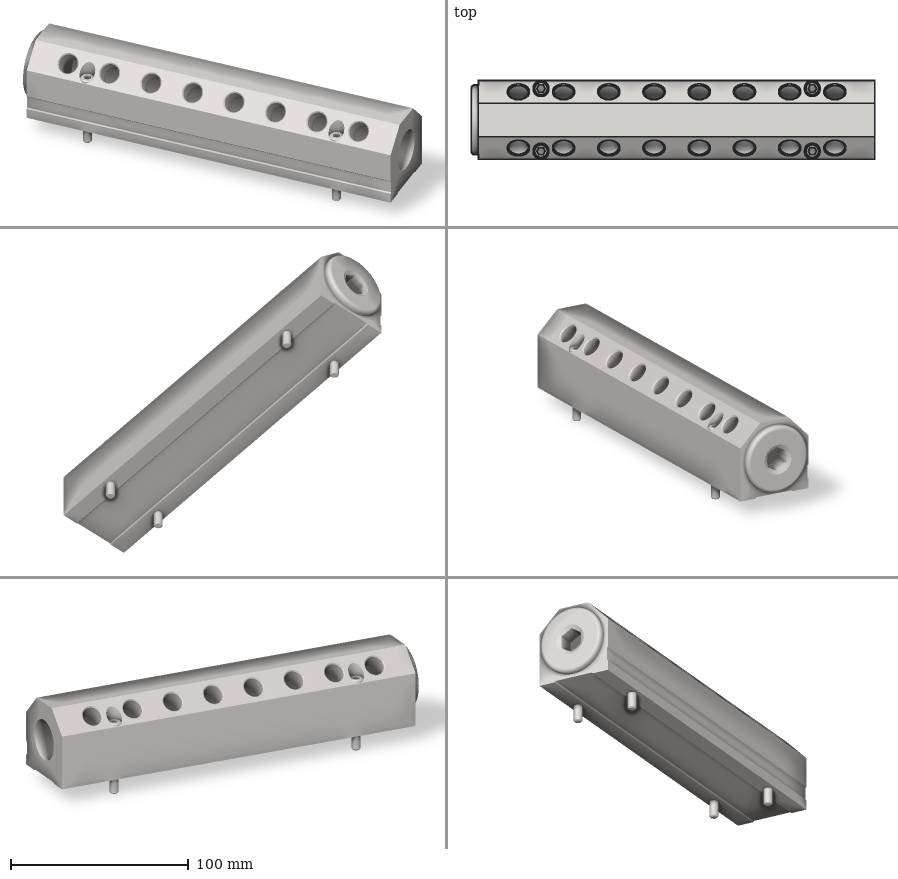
import cadquery as cq
import math


overall_length = 227.0
flange_thickness = 4.0
block_length = overall_length - flange_thickness
block_size = 44.5
top_flat = 18.8
half_size = block_size / 2
slope_drop = (block_size - top_flat) / 2

recess_depth = 0.7
foot_gap = 25.0
band_top = 30.2
band_bottom = 38.5

bore_diameter = 23.8
port_count = 8
port_pitch = 25.5
port_diameter = 11.1
port_mouth_diameter = 12.5
port_chamfer = (port_mouth_diameter - port_diameter) / 2
first_port_x = (block_length - (port_count - 1) * port_pitch) / 2

screw_diameter = 5.0
screw_spacing = 35.2
screw_projection = 9.5
screw_tip_chamfer = 0.7
head_diameter = 8.5
head_height = 5.0
head_chamfer = 0.7
head_drop = 11.1
screw_socket_width = 4.0
screw_socket_depth = 2.5
counterbore_diameter = 8.9
seat_z = half_size - head_drop - head_height
screw_xs = [first_port_x + port_pitch / 2, first_port_x + (port_count - 1.5) * port_pitch]
screw_positions = [(x, side * screw_spacing / 2) for x in screw_xs for side in (-1, 1)]

flange_diameter = 39.3
flange_fillet = 2.0
shank_length = 13.6
plug_socket_width = 12.5
plug_drill_diameter = 12.7
plug_socket_depth = 11.3
plug_countersink_diameter = 17.7
plug_countersink_half_angle = math.radians(60)


def hexagon_diameter(across_flats):
    """Corner-to-corner size of a hexagon."""
    return across_flats / math.cos(math.pi / 6)


def block_outline():
    """Section of the block in the YZ plane."""
    foot_y = foot_gap / 2
    upper_z = half_size - band_top
    lower_z = half_size - band_bottom
    return [
        (top_flat / 2, half_size),
        (half_size, half_size - slope_drop),
        (half_size, -half_size),
        (foot_y, -half_size),
        (foot_y - recess_depth, -half_size + recess_depth),
        (-foot_y + recess_depth, -half_size + recess_depth),
        (-foot_y, -half_size),
        (-half_size, -half_size),
        (-half_size, lower_z),
        (-half_size + recess_depth, lower_z + recess_depth),
        (-half_size + recess_depth, upper_z - recess_depth),
        (-half_size, upper_z),
        (-half_size, half_size - slope_drop),
        (-top_flat / 2, half_size),
    ]


def port_cutter(x, side):
    """Countersunk drill from a sloped face to the bore axis; side is -1 or +1 in Y."""
    face_y = (top_flat / 2 + half_size) / 2
    face_z = half_size - slope_drop / 2
    inward = cq.Vector(0, -side, -1)
    mouth = cq.Vector(x, side * face_y, face_z)
    drill = cq.Solid.makeCylinder(port_diameter / 2, math.hypot(face_y, face_z), mouth, inward)
    countersink = cq.Solid.makeCone(
        port_mouth_diameter / 2, port_diameter / 2, port_chamfer, mouth, inward
    )
    return drill.fuse(countersink)


def make_block():
    block = cq.Workplane("YZ").polyline(block_outline()).close().extrude(block_length)
    block = block.cut(cq.Workplane("YZ").circle(bore_diameter / 2).extrude(block_length))
    for index in range(port_count):
        for side in (-1, 1):
            block = block.cut(cq.Workplane(port_cutter(first_port_x + index * port_pitch, side)))
    clearance = (
        cq.Workplane("XY", origin=(0, 0, -half_size))
        .pushPoints(screw_positions)
        .circle(screw_diameter / 2)
        .extrude(block_size)
    )
    counterbores = (
        cq.Workplane("XY", origin=(0, 0, seat_z))
        .pushPoints(screw_positions)
        .circle(counterbore_diameter / 2)
        .extrude(half_size - seat_z)
    )
    return block.cut(clearance).cut(counterbores)


def make_plug():
    """Flanged plug with a drilled, countersunk hexagon socket; its shank fills the start of the bore."""
    flange = (
        cq.Workplane("YZ", origin=(-flange_thickness, 0, 0))
        .circle(flange_diameter / 2)
        .extrude(flange_thickness)
        .faces("<X")
        .edges()
        .fillet(flange_fillet)
    )
    shank = cq.Workplane("YZ").circle(bore_diameter / 2).extrude(shank_length)
    drill = (
        cq.Workplane("YZ", origin=(-flange_thickness, 0, 0))
        .circle(plug_drill_diameter / 2)
        .extrude(plug_socket_depth)
    )
    hexagon = (
        cq.Workplane("YZ", origin=(-flange_thickness, 0, 0))
        .transformed(rotate=(0, 0, 90))
        .polygon(6, hexagon_diameter(plug_socket_width))
        .extrude(plug_socket_depth)
    )
    countersink_margin = (plug_countersink_diameter - plug_drill_diameter) / 2
    countersink = cq.Solid.makeCone(
        plug_countersink_diameter / 2,
        plug_drill_diameter / 2,
        countersink_margin / math.tan(plug_countersink_half_angle),
        cq.Vector(-flange_thickness, 0, 0),
        cq.Vector(1, 0, 0),
    )
    return flange.union(shank).cut(drill).cut(hexagon).cut(cq.Workplane(countersink))


def make_screw(x, y):
    """Socket head cap screw, head up, seated in its counterbore."""
    head = (
        cq.Workplane("XY", origin=(x, y, seat_z))
        .circle(head_diameter / 2)
        .extrude(head_height)
        .faces(">Z")
        .edges()
        .chamfer(head_chamfer)
    )
    shank = (
        cq.Workplane("XY", origin=(x, y, seat_z))
        .circle(screw_diameter / 2)
        .extrude(-(seat_z + half_size + screw_projection))
        .faces("<Z")
        .edges()
        .chamfer(screw_tip_chamfer)
    )
    socket = (
        cq.Workplane("XY", origin=(x, y, seat_z + head_height))
        .polygon(6, hexagon_diameter(screw_socket_width))
        .extrude(-screw_socket_depth)
    )
    return head.union(shank).cut(socket)


block = make_block()
plug = make_plug()
screws = [make_screw(x, y) for x, y in screw_positions]

result = cq.Compound.makeCompound([block.val(), plug.val(), *[screw.val() for screw in screws]])